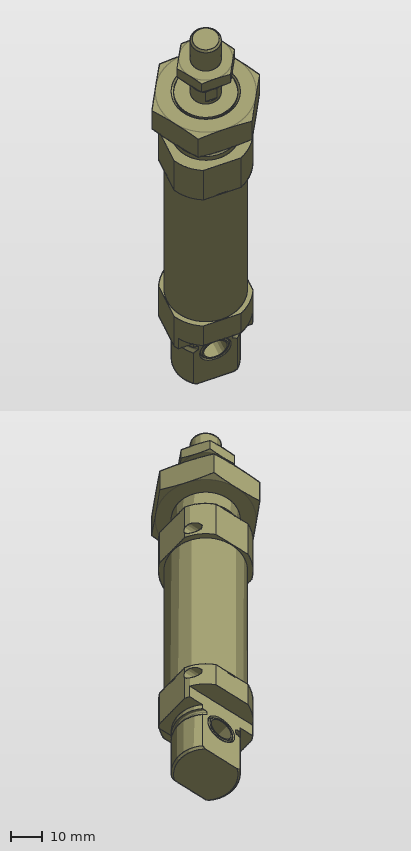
import cadquery as cq
import math

total_height = 171.5

rod_dia = 10.0
rod_end_chamfer = 0.7
rod_thread_length = 18.2
rod_taper_length = 2.4
rod_groove_dia = 8.4
rod_groove_length = 0.7
rod_shoulder_chamfer = 0.7
rod_flats_width = 9.1
rod_flats_bottom = 144.7

nut_chamfer_angle = 15.0

rod_nut_width = 17.2
rod_nut_height = 5.0
rod_nut_top = 161.0

housing_top = 143.4
neck_dia = 22.0
neck_end_dia = 20.4
neck_groove_dia = 19.7
cap_width = 27.1
cap_corner_dia = 30.0
barrel_dia = 26.5
front_cap_top = 121.5
front_cap_bottom = 105.6
rear_cap_top = 38.0
rear_cap_bottom = 22.1

undercut_start = 2.0
undercut_end = 5.0
undercut_fillet = 0.5

mount_nut_width = 32.0
mount_nut_height = 11.0
mount_nut_bottom = housing_top - mount_nut_height

tongue_width = 16.0
tongue_top = 27.6
pivot_dia = 8.0
pivot_ring_dia = 10.0
pivot_ring_depth = 0.43
pivot_height = 15.5

screw_hole_dia = 5.0
screw_hole_depth = 5.1
screw_hole_x = -8.5
front_screw_height = 109.5
rear_screw_height = 34.3


def cylinder(diameter, bottom, top):
    return cq.Workplane("XY").workplane(offset=bottom).circle(diameter / 2).extrude(top - bottom)


def make_ring(inner_dia, outer_dia, bottom, top):
    return cylinder(outer_dia, bottom, top).cut(cylinder(inner_dia, bottom, top))


def turned(profile):
    """Solid of revolution about Z from a closed outline of (radius, height) points."""
    return cq.Workplane("XZ").polyline(profile).close().revolve(360, (0, 0), (0, 1))


def hex_nut(width, bottom, top, bore_dia):
    """Hexagon nut with corners on the Y axis, chamfered at both faces, with a plain bore."""
    corner_dia = width / math.cos(math.radians(30))
    chamfer_width = (corner_dia - width) / 2
    chamfer_height = chamfer_width * math.tan(math.radians(nut_chamfer_angle))
    hexagon = (
        cq.Workplane("XY")
        .workplane(offset=bottom)
        .polygon(6, corner_dia)
        .extrude(top - bottom)
        .rotate((0, 0, 0), (0, 0, 1), 90)
    )
    envelope = turned([
        (0, bottom),
        (width / 2, bottom),
        (corner_dia / 2, bottom + chamfer_height),
        (corner_dia / 2, top - chamfer_height),
        (width / 2, top),
        (0, top),
    ])
    return hexagon.intersect(envelope).cut(cylinder(bore_dia, bottom, top))


def make_rod():
    radius = rod_dia / 2
    thread_bottom = total_height - rod_thread_length
    groove_top = thread_bottom - rod_taper_length
    groove_bottom = groove_top - rod_groove_length
    shoulder = groove_bottom - rod_shoulder_chamfer
    rod = turned([
        (0, housing_top),
        (radius, housing_top),
        (radius, shoulder),
        (rod_groove_dia / 2, groove_bottom),
        (rod_groove_dia / 2, groove_top),
        (radius, thread_bottom),
        (radius, total_height - rod_end_chamfer),
        (radius - rod_end_chamfer, total_height),
        (0, total_height),
    ])
    flats_height = groove_bottom - rod_flats_bottom
    for side in (-1, 1):
        cutter = (
            cq.Workplane("XY")
            .box(rod_dia, rod_dia, flats_height, centered=(True, True, False))
            .translate((side * (rod_flats_width + rod_dia) / 2, 0, rod_flats_bottom))
        )
        rod = rod.cut(cutter)
    return rod


def make_cap(bottom, top):
    """Square cap whose corners are rounded by a cylinder about the axis."""
    height = top - bottom
    square = cq.Workplane("XY").workplane(offset=bottom).rect(cap_width, cap_width).extrude(height)
    return square.intersect(cylinder(cap_corner_dia, bottom, top))


def make_neck(cap_face, end):
    """Threaded neck from the cap face to its chamfered end, undercut beside the cap."""
    direction = math.copysign(1, end - cap_face)
    radius = neck_dia / 2
    end_radius = neck_end_dia / 2
    neck = turned([
        (0, cap_face),
        (radius, cap_face),
        (radius, end - direction * (radius - end_radius)),
        (end_radius, end),
        (0, end),
    ])
    groove_radius = neck_groove_dia / 2
    wall = cap_face + direction * undercut_start
    runout = cap_face + direction * undercut_end
    undercut = turned([
        (groove_radius, wall),
        (radius, wall),
        (radius, runout),
        (groove_radius, runout - direction * (radius - groove_radius)),
    ])
    floor_edges = cq.selectors.RadiusNthSelector(0)
    return neck.cut(undercut.edges(floor_edges).fillet(undercut_fillet))


def make_screw_hole(height):
    """Blind bore along Y, its depth measured from the +Y flat of the cap."""
    return (
        cq.Workplane("XZ", origin=(screw_hole_x, cap_width / 2, height))
        .circle(screw_hole_dia / 2)
        .extrude(screw_hole_depth)
    )


def cut_tongue(housing):
    """Flat sides facing X at the rear end."""
    for side in (-1, 1):
        cutter = (
            cq.Workplane("XY")
            .box(cap_corner_dia, cap_corner_dia, tongue_top, centered=(True, True, False))
            .translate((side * (tongue_width + cap_corner_dia) / 2, 0, 0))
        )
        housing = housing.cut(cutter)
    return housing


def make_pivot_hole():
    """Bore along X with a V groove around it in each tongue side."""
    half = tongue_width / 2
    hole = (
        cq.Workplane("YZ")
        .workplane(offset=-half)
        .center(0, pivot_height)
        .circle(pivot_dia / 2)
        .extrude(tongue_width)
    )
    ring_radius = pivot_ring_dia / 2
    for side in (-1, 1):
        ring = (
            cq.Workplane("XY")
            .polyline([
                (side * half, ring_radius - pivot_ring_depth),
                (side * (half - pivot_ring_depth), ring_radius),
                (side * half, ring_radius + pivot_ring_depth),
            ])
            .close()
            .revolve(360, (0, 0), (1, 0))
            .translate((0, 0, pivot_height))
        )
        hole = hole.add(ring)
    return hole.combine()


def cut_nut_seat(housing):
    """Reduce the front neck to the bore of the mounting nut over the height of the nut."""
    return housing.cut(make_ring(neck_end_dia, neck_dia, mount_nut_bottom, housing_top))


def make_housing():
    housing = (
        cylinder(barrel_dia, rear_cap_top, front_cap_bottom)
        .union(make_cap(front_cap_bottom, front_cap_top))
        .union(make_cap(rear_cap_bottom, rear_cap_top))
        .union(make_neck(front_cap_top, housing_top))
        .union(make_neck(rear_cap_bottom, 0))
    )
    housing = cut_nut_seat(housing)
    housing = cut_tongue(housing).cut(make_pivot_hole())
    for height in (front_screw_height, rear_screw_height):
        housing = housing.cut(make_screw_hole(height))
    return housing


def make_mount_nut():
    """Nut around the front neck, with a 45 degree countersink at its outer face."""
    nut = hex_nut(mount_nut_width, mount_nut_bottom, housing_top, neck_end_dia)
    seat_radius = neck_dia / 2
    countersink = turned([
        (0, housing_top),
        (seat_radius, housing_top),
        (0, housing_top - seat_radius),
    ])
    return nut.cut(countersink)


rod = make_rod()
rod_nut = hex_nut(rod_nut_width, rod_nut_top - rod_nut_height, rod_nut_top, rod_dia)
mount_nut = make_mount_nut()
housing = make_housing()

result = cq.Compound.makeCompound([rod.val(), rod_nut.val(), mount_nut.val(), housing.val()])